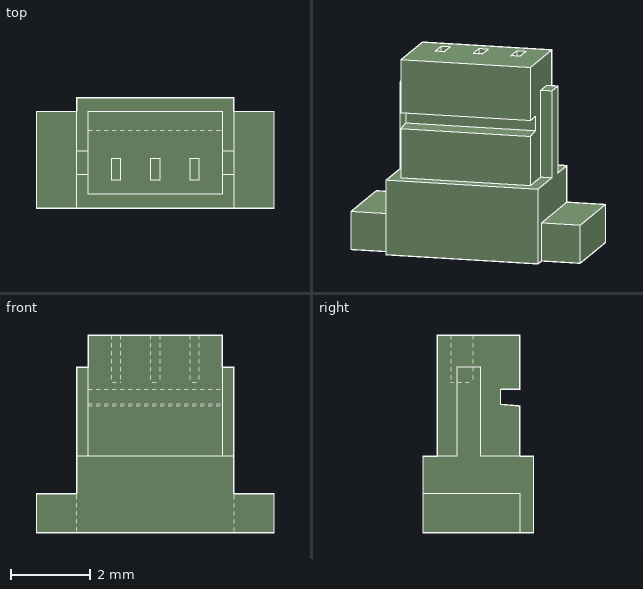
import cadquery as cq

base_width = 6.0
base_depth = 2.455
base_height = 0.99

shoulder_width = 3.98
shoulder_depth = 2.8
shoulder_top = 1.94

plug_width = 3.39
plug_front = 0.36
plug_back = base_depth
plug_top = 5.0

rib_front = 0.865
rib_back = 1.45
rib_top = 4.19

groove_depth = 0.485
groove_top = 3.625
groove_floor_inner = 3.25
groove_floor_outer = 3.21

slot_count = 3
slot_pitch = 0.99
slot_width = 0.235
slot_front = 0.715
slot_back = 1.265
slot_depth = 1.2


def block(width, front, back, bottom, top):
    """Box centred on X = 0 between the given Y and Z limits."""
    size = (width, back - front, top - bottom)
    return cq.Workplane("XY").box(*size, centered=(True, False, False)).translate((0, front, bottom))


def latch_groove():
    inner = plug_back - groove_depth
    profile = [
        (inner, groove_top),
        (plug_back, groove_top),
        (plug_back, groove_floor_outer),
        (inner, groove_floor_inner),
    ]
    return cq.Workplane("YZ").polyline(profile).close().extrude(plug_width / 2, both=True)


def contact_slots():
    return (
        cq.Workplane("XY", origin=(0, (slot_front + slot_back) / 2, plug_top))
        .rarray(slot_pitch, 0.06, slot_count, 1)
        .rect(slot_width, slot_back - slot_front)
        .extrude(-slot_depth)
    )


base = block(base_width, 0, base_depth, 0, base_height)
shoulder = block(shoulder_width, 0, shoulder_depth, 0, shoulder_top)
plug = block(plug_width, plug_front, plug_back, shoulder_top, plug_top)
ribs = block(shoulder_width, rib_front, rib_back, shoulder_top, rib_top)

body = base.union(shoulder).union(plug).union(ribs)
result = body.cut(latch_groove()).cut(contact_slots())